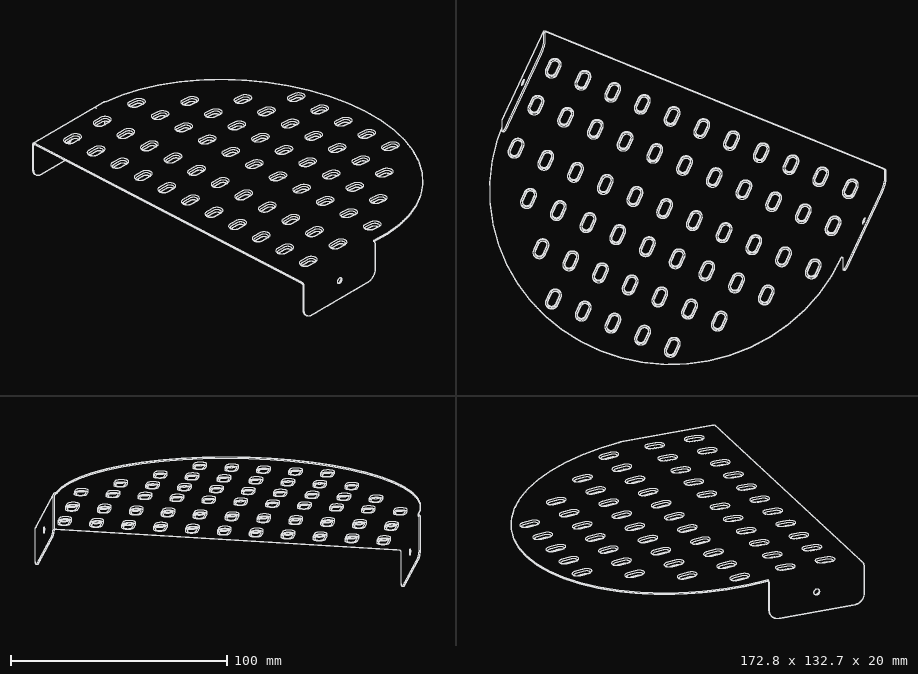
import cadquery as cq

width = 172.8
height = 20.0
flange_length = 48.0
sheet_thickness = 0.75
bend_radius = 1.4
tilt_degrees = 5.0
dome_radius = width / 2 - bend_radius

flange_corner_radius = 5.0
pin_hole_diameter = 3.0
pin_hole_depth_below_top = 10.0

columns_full_row = 11
full_row_span = 150.0
column_pitch = full_row_span / (columns_full_row - 1)
row_pitch = 20.0
first_flat_row = 13.1
first_tilted_row = 10.0
flat_row_counts = (columns_full_row, columns_full_row)
tilted_rows = 4
columns_lost_per_row = 2
tilted_row_counts = tuple(columns_full_row - columns_lost_per_row * row for row in range(tilted_rows))
slot_angle = 90
slot_width = 4.0
slot_straight = 4.0
slot_chamfer = sheet_thickness
collar_wall = 0.9
collar_depth = 2.2
collar_root_spread = 1.4
collar_root_depth = 0.43


def flared_slot(base_width, bottom_z, top_z, flare, flare_depth):
    """Slot prism along Y that widens by flare on every side over its top flare_depth."""
    top_width = base_width + 2 * flare
    prism = (
        cq.Workplane("XY", origin=(0, 0, bottom_z))
        .slot2D(slot_straight + base_width, base_width, slot_angle)
        .extrude(top_z - bottom_z)
    )
    cone = (
        cq.Workplane("XY", origin=(0, 0, top_z - flare_depth))
        .slot2D(slot_straight + base_width, base_width, slot_angle)
        .workplane(offset=flare_depth)
        .slot2D(slot_straight + top_width, top_width, slot_angle)
        .loft(ruled=True)
    )
    return prism.union(cone).val()


def add_slots(plate, first_row, row_step, row_counts):
    """Form rows of collared slots, centred on X, in a plate whose top is at Z = 0."""
    collar = flared_slot(
        slot_width + 2 * collar_wall,
        -collar_depth,
        -sheet_thickness,
        collar_root_spread,
        collar_root_depth,
    )
    opening = flared_slot(slot_width, -collar_depth, 0, slot_chamfer, slot_chamfer)
    places = [
        cq.Vector((column - (count - 1) / 2) * column_pitch, first_row + row * row_step, 0)
        for row, count in enumerate(row_counts)
        for column in range(count)
    ]
    collars = [collar.translate(place) for place in places]
    openings = [opening.translate(place) for place in places]
    body = plate.val().fuse(*collars).cut(*openings)
    return cq.Workplane("XY").newObject([body])


def make_channel():
    """Flat strip with a flange bent down at each side; the fold line is at Y = 0."""
    channel = (
        cq.Workplane("XY")
        .box(width, flange_length, height, centered=(True, False, False))
        .translate((0, -flange_length, -height))
        .edges("|Y and >Z")
        .fillet(bend_radius)
    )
    inside = (
        cq.Workplane("XY")
        .box(width - 2 * sheet_thickness, flange_length, height, centered=(True, False, False))
        .translate((0, -flange_length, -height - sheet_thickness))
        .edges("|Y and >Z")
        .fillet(bend_radius - sheet_thickness)
    )
    pin_hole = (
        cq.Workplane("YZ")
        .center(-flange_length / 2, -pin_hole_depth_below_top)
        .circle(pin_hole_diameter / 2)
        .extrude(width / 2, both=True)
    )
    return channel.cut(inside).edges("|X and <Z").fillet(flange_corner_radius).cut(pin_hole)


def make_dome():
    """Half-disc with its straight side on the fold line, before tilting."""
    return (
        cq.Workplane("XY")
        .moveTo(dome_radius, 0)
        .threePointArc((0, dome_radius), (-dome_radius, 0))
        .close()
        .extrude(-sheet_thickness)
    )


channel = add_slots(make_channel(), -first_flat_row, -row_pitch, flat_row_counts)
dome = add_slots(make_dome(), first_tilted_row, row_pitch, tilted_row_counts)
dome = dome.rotate((0, 0, 0), (1, 0, 0), -tilt_degrees)

result = channel.union(dome)